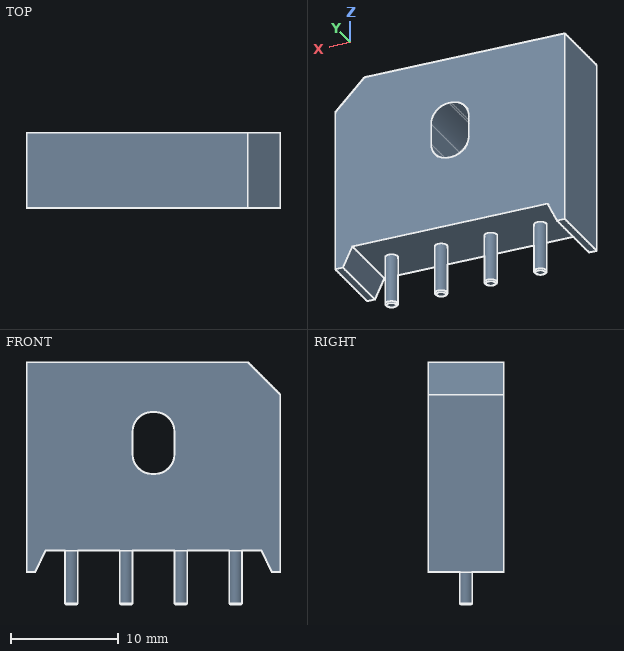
import cadquery as cq

width = 23.5
depth = 7.0
total_height = 22.5
body_height = 19.45
corner_chamfer = 3.0

foot_height = 2.0
foot_tip_width = 0.8
foot_root_width = 1.76

slot_width = 3.85
slot_length = 5.7
slot_center_below_top = 7.5
slot_corner_radius = 1.8

pin_count = 4
pin_pitch = 5.08
pin_diameter = 1.2
pin_tip_chamfer = 0.15


def make_body():
    half = width / 2
    outline = [
        (-half, 0),
        (-half, body_height),
        (half - corner_chamfer, body_height),
        (half, body_height - corner_chamfer),
        (half, 0),
        (half - foot_tip_width, 0),
        (half - foot_root_width, foot_height),
        (-half + foot_root_width, foot_height),
        (-half + foot_tip_width, 0),
    ]
    return cq.Workplane("XZ").polyline(outline).close().extrude(depth / 2, both=True)


def make_slot():
    return (
        cq.Workplane("XZ")
        .center(0, body_height - slot_center_below_top)
        .rect(slot_width, slot_length)
        .extrude(depth, both=True)
        .edges("|Y")
        .fillet(slot_corner_radius)
    )


def make_pin(x):
    tip_z = body_height - total_height
    return (
        cq.Workplane("XY", origin=(x, 0, tip_z))
        .circle(pin_diameter / 2)
        .extrude(foot_height - tip_z)
        .faces("<Z")
        .chamfer(pin_tip_chamfer)
    )


result = make_body().cut(make_slot())
for index in range(pin_count):
    result = result.union(make_pin((index - (pin_count - 1) / 2) * pin_pitch))